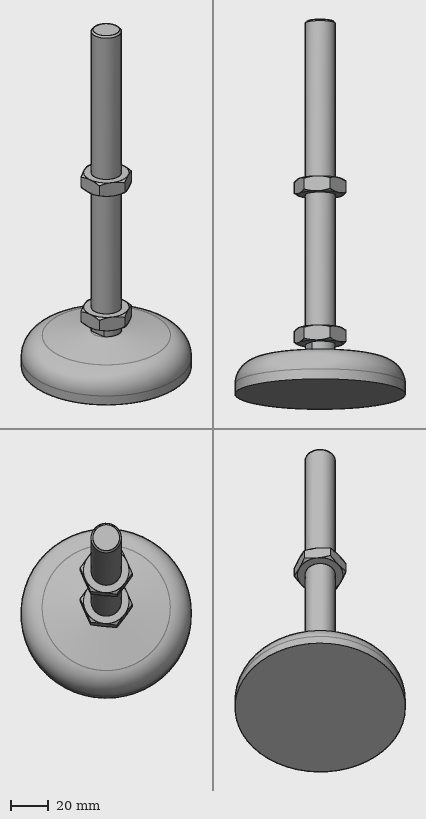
import cadquery as cq
import math

total_height = 200.0

foot_radius = 45.0
rim_height = 5.5
shoulder_radius = 12.8
foot_top = 21.5
cone_angle = math.radians(7.4)

stem_radius = 8.0
stem_chamfer = 1.0
flats_width = 13.0

nut_flats = 24.0
nut_height = 8.0
nut_chamfer_angle = math.radians(30)
lower_nut_base = 27.0
upper_nut_base = 107.0


def make_foot():
    """Revolve the foot; the rim arc runs tangent into the wall and the cone."""
    arc_center_r = foot_radius - shoulder_radius

    def arc_point(angle):
        """Point on the rim arc at an angle measured from the vertical."""
        return (
            arc_center_r + shoulder_radius * math.sin(angle),
            rim_height + shoulder_radius * math.cos(angle),
        )

    cone_start = arc_point(cone_angle)
    arc_middle = arc_point((cone_angle + math.pi / 2) / 2)
    top_flat_radius = cone_start[0] - (foot_top - cone_start[1]) / math.tan(cone_angle)
    return (
        cq.Workplane("XZ")
        .lineTo(foot_radius, 0)
        .lineTo(foot_radius, rim_height)
        .threePointArc(arc_middle, cone_start)
        .lineTo(top_flat_radius, foot_top)
        .lineTo(0, foot_top)
        .close()
        .revolve(360, (0, 0, 0), (0, 1, 0))
    )


def make_stem():
    """Round rod rising from inside the foot, with wrench flats below the lower nut."""
    rod = (
        cq.Workplane("XY", origin=(0, 0, rim_height))
        .circle(stem_radius)
        .extrude(total_height - rim_height)
        .faces(">Z")
        .chamfer(stem_chamfer)
    )
    for side in (-1, 1):
        flat_cut = cq.Workplane("XY").box(
            2 * stem_radius, stem_radius, lower_nut_base, centered=(True, True, False)
        )
        rod = rod.cut(flat_cut.translate((0, side * (flats_width + stem_radius) / 2, 0)))
    return rod


def make_nut(base_height):
    """Hexagon nut with corners on the X axis, chamfered conically on both ends."""
    corner_radius = nut_flats / 2 / math.cos(math.pi / 6)
    chamfer_width = corner_radius - nut_flats / 2
    chamfer_depth = chamfer_width * math.tan(nut_chamfer_angle)
    hexagon = cq.Workplane("XY").polygon(6, 2 * corner_radius).extrude(nut_height)
    envelope = (
        cq.Workplane("XZ")
        .lineTo(nut_flats / 2, 0)
        .lineTo(corner_radius, chamfer_depth)
        .lineTo(corner_radius, nut_height - chamfer_depth)
        .lineTo(nut_flats / 2, nut_height)
        .lineTo(0, nut_height)
        .close()
        .revolve(360, (0, 0, 0), (0, 1, 0))
    )
    return hexagon.intersect(envelope).translate((0, 0, base_height))


result = make_foot().union(make_stem())
for nut_base in (lower_nut_base, upper_nut_base):
    result = result.union(make_nut(nut_base))